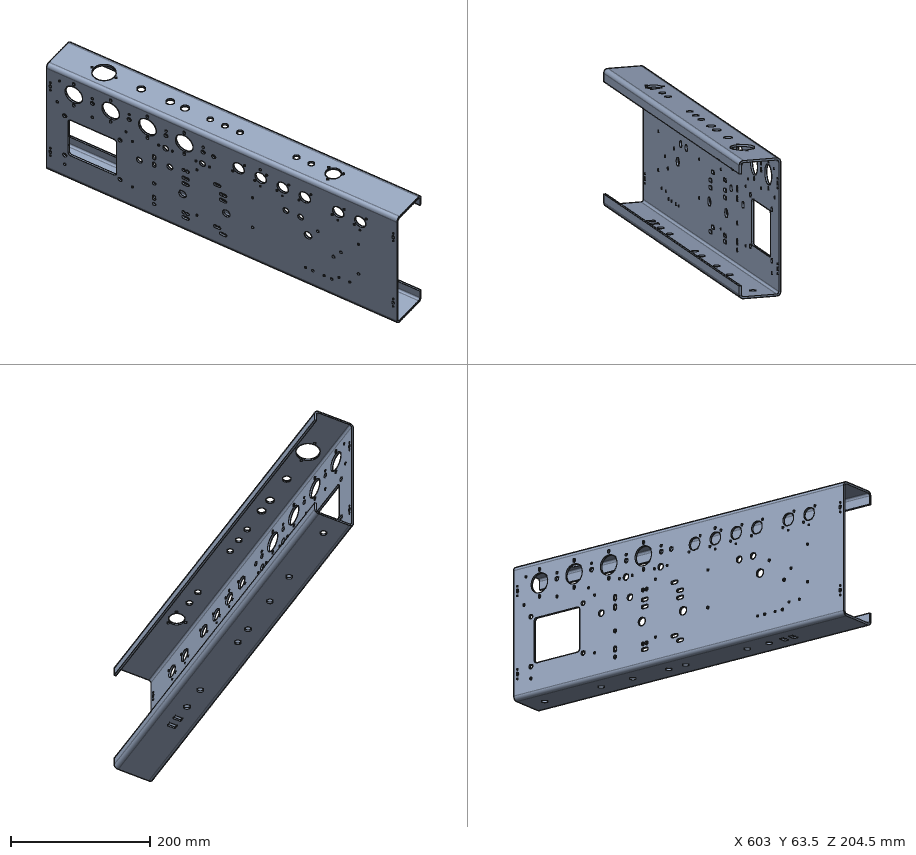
import cadquery as cq
import math

length = 603.0
depth = 63.5
height = 204.5

thickness = 3.2
bend_radius = 6.5
lip_height = 19.5

cut_depth = 2 * thickness

tiny_hole = 2.5
small_hole = 3.2
screw_hole = 3.9
clearance_hole = 4.75
terminal_hole = 5.3
post_hole = 6.5
grommet_hole = 9.5
large_grommet_hole = 12.5
noval_hole = 19.5
xlr_hole = 23.5
octal_hole = 30.0
can_hole = 35.0

octal_count = 4
octal_first_x = -254.5
octal_pitch = 63.5
octal_z = 67.0
octal_slot_offset = 20.5
octal_slot_length = 5.5
octal_slot_width = 3.9

noval_centres_x = [29.0, 67.0, 105.0, 143.0, 200.0, 238.0]
noval_z = 65.0
noval_screw_offset = 10.0
noval_key_centres_x = [66.5, 104.5, 199.5, 237.5]
noval_key_z = 49.0

window_x = -222.5
window_z = -19.5
window_width = 83.0
window_height = 69.0
window_corner_radius = 5.0
window_mount_dx = 47.5
window_mount_dz = 38.0

slot_width = terminal_hole
slot_length = 12.0
upright_slot_length = 9.0
twin_hole_offset = 3.4

bracket_x = 295.0
bracket_z = 63.5
bracket_hole_offset = 7.0
bracket_slot_length = 5.5
bracket_slot_width = 3.5

can_x = -223.0
can_screw_offset = 20.5
xlr_x = 171.5
xlr_screw_radius = 14.5
xlr_screw_angles = [30, 150, 270]

web_holes = {
    tiny_hole: [(x, noval_key_z) for x in noval_key_centres_x],
    small_hole: [
        (-279.5, 81.5), (-159.0, 76.0), (-164.5, 40.0),
        (-108.5, 41.5), (-85.0, 41.5), (-44.5, 43.0), (-21.0, 43.0),
        (-154.0, 26.5), (-43.0, 26.5), (-154.0, -61.5), (-43.0, -61.5),
        (53.0, 20.0), (235.0, 20.0),
        (144.0, -70.0), (176.0, -70.0), (201.5, -61.0), (220.0, -61.0),
    ],
    screw_hole: [
        (66.5, 81.0), (-222.5, 75.5), (-96.0, 75.5), (-32.0, 75.5),
        (-283.0, 39.0), (-222.5, 39.0), (-270.0, -75.5),
        (53.0, -37.5), (235.0, -37.5), (157.0, -70.0), (189.5, -70.0),
        (165.0, 10.0), (205.0, -10.0),
    ],
    clearance_hole: [(192.5, -25.5)],
    terminal_hole: [(-116.5, -36.0), (-116.5, -76.0)],
    post_hole: [
        (-222.5, 66.5), (-159.0, 66.5), (-96.0, 66.5), (-32.0, 66.5), (-14.0, 66.5),
    ],
    grommet_hole: [
        (-33.0, 43.5), (-96.5, 41.5), (110.5, 23.5), (136.0, 23.5), (-89.0, 9.0), (-142.0, -3.5),
    ],
    large_grommet_hole: [(148.5, -5.5), (-67.5, -32.5), (8.0, -32.5)],
}
twin_hole_centres = [(-62.0, 15.0), (-62.0, -67.0)]
level_slot_centres = [
    (-8.0, 14.5), (-8.0, -67.0), (-62.0, 0.0), (-62.0, -11.0), (-62.0, -76.0),
    (2.5, 0.0), (2.5, -11.0), (2.5, -76.0),
]
upright_slot_centres = [(-116.5, 14.5), (-116.5, 0.0), (-116.5, -64.0)]

top_flange_holes = {
    large_grommet_hole: [-159.0, -109.0, -84.0],
    grommet_hole: [-40.5, -15.0, 11.0, 108.0, 133.5],
}

bottom_holes_x = [-269.5, -166.5, -108.5, -43.0, -12.0, 101.0, 140.5]
bottom_slots_x = [168.0, 184.5]
bottom_slot_width = 7.0
bottom_slot_length = 12.5


def channel():
    """C-section with inward lips along the open +Y side."""
    outer = cq.Workplane("XY").box(length, depth, height).edges("|X").fillet(bend_radius)
    inner = (
        cq.Workplane("XY")
        .box(length, depth - 2 * thickness, height - 2 * thickness)
        .edges("|X")
        .fillet(bend_radius - thickness)
    )
    mouth = (
        cq.Workplane("XY")
        .box(length, depth / 2, height - 2 * lip_height)
        .translate((0, depth / 2, 0))
    )
    return outer.cut(inner).cut(mouth)


def web_plane():
    """Plane on the outer face of the web; a negative extrusion goes into the part."""
    return cq.Workplane("XZ", origin=(0, -depth / 2, 0))


def web_cutter(sketch):
    return sketch.extrude(-cut_depth)


def web_round(points, diameter):
    return web_cutter(web_plane().pushPoints(points).circle(diameter / 2))


def web_slot(points, slot_long, width, angle=0):
    return web_cutter(web_plane().pushPoints(points).slot2D(slot_long, width, angle))


def bottom_plane():
    return cq.Workplane("XY", origin=(0, 0, -height / 2))


def top_flange_round(points, diameter):
    top = cq.Workplane("XY", origin=(0, 0, height / 2))
    return top.pushPoints(points).circle(diameter / 2).extrude(-cut_depth)


def octal_sockets():
    centres = [(octal_first_x + i * octal_pitch, octal_z) for i in range(octal_count)]
    slots = [(x, z + side * octal_slot_offset) for x, z in centres for side in (-1, 1)]
    return [
        web_round(centres, octal_hole),
        web_slot(slots, octal_slot_length, octal_slot_width, 90),
    ]


def noval_sockets():
    screws = [
        (x + side * noval_screw_offset, noval_z + side * noval_screw_offset)
        for x in noval_centres_x
        for side in (-1, 1)
    ]
    return [
        web_round([(x, noval_z) for x in noval_centres_x], noval_hole),
        web_round(screws, small_hole),
    ]


def transformer_window():
    window = web_cutter(
        web_plane().center(window_x, window_z).rect(window_width, window_height)
    ).edges("|Y").fillet(window_corner_radius)
    mounts = [
        (window_x + i * window_mount_dx, window_z + k * window_mount_dz)
        for i in (-1, 1)
        for k in (-1, 1)
    ]
    return [window, web_round(mounts, post_hole)]


def end_brackets():
    centres = [(i * bracket_x, k * bracket_z) for i in (-1, 1) for k in (-1, 1)]
    holes = [(x, z + side * bracket_hole_offset) for x, z in centres for side in (-1, 1)]
    return [
        web_slot(centres, bracket_slot_length, bracket_slot_width, 90),
        web_round(holes, tiny_hole),
    ]


def terminal_slots():
    twins = [
        (x + side * twin_hole_offset, z) for x, z in twin_hole_centres for side in (-1, 1)
    ]
    return [
        web_round(twins, terminal_hole),
        web_slot(level_slot_centres, slot_length, slot_width),
        web_slot(upright_slot_centres, upright_slot_length, slot_width, 90),
    ]


def plain_web_holes():
    return [web_round(points, diameter) for diameter, points in web_holes.items()]


def plain_flange_holes():
    return [
        top_flange_round([(x, 0) for x in centres], diameter)
        for diameter, centres in top_flange_holes.items()
    ]


def can_mount():
    screws = [(can_x - can_screw_offset, 0), (can_x + can_screw_offset, 0)]
    return [top_flange_round([(can_x, 0)], can_hole), top_flange_round(screws, small_hole)]


def xlr_socket():
    screws = [
        (
            xlr_x + xlr_screw_radius * math.cos(math.radians(angle)),
            xlr_screw_radius * math.sin(math.radians(angle)),
        )
        for angle in xlr_screw_angles
    ]
    return [top_flange_round([(xlr_x, 0)], xlr_hole), top_flange_round(screws, screw_hole)]


def bottom_openings():
    hole_centres = [(x, 0) for x in bottom_holes_x]
    slot_centres = [(x, 0) for x in bottom_slots_x]
    holes = bottom_plane().pushPoints(hole_centres).circle(grommet_hole / 2)
    slots = bottom_plane().pushPoints(slot_centres).rect(bottom_slot_width, bottom_slot_length)
    return [holes.extrude(cut_depth), slots.extrude(cut_depth)]


cutters = (
    octal_sockets()
    + noval_sockets()
    + transformer_window()
    + end_brackets()
    + terminal_slots()
    + plain_web_holes()
    + plain_flange_holes()
    + can_mount()
    + xlr_socket()
    + bottom_openings()
)

result = channel()
for cutter in cutters:
    result = result.cut(cutter)